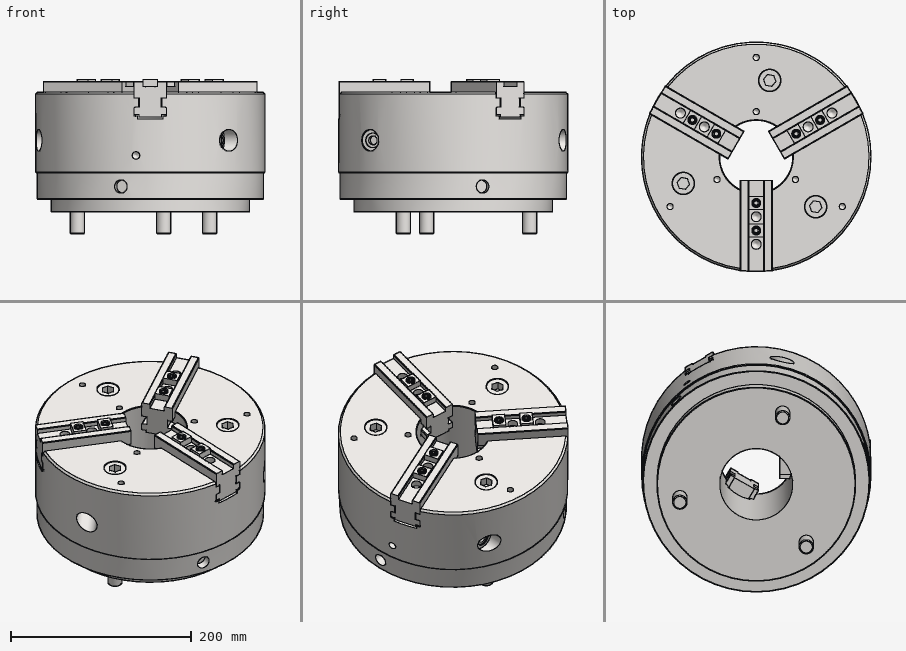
import cadquery as cq
import math


pilot_radius = 110.0
flange_radius = 125.5
body_radius = 127.0
pilot_height = 14.2
body_bottom = 43.2
body_top = 132.8
bore_radius = 40.5
outside_radius = body_radius + 12.7
top_chamfer = 2.3
rim_chamfer = 1.0
bore_chamfer = 0.8
small_chamfer = 0.8

jaw_angles = [30, 150, 270]
jaw_inner = 26.0
jaw_outer = 126.2
jaw_top = 144.5
jaw_half_width = 17.8
jaw_neck_half = 12.0
jaw_foot_half = 12.7
neck_top = 126.5
neck_bottom = 116.3
jaw_shoulder = 108.0
jaw_bottom = 105.5
tongue_chamfer = 1.0
jaw_edge_chamfer = 0.8

way_neck_half = 13.0
way_foot_half = 14.0
way_shoulder = 106.2
way_bottom = 102.9

channel_width = 16.5
channel_floor = 139.0
key_top = 146.8
key_length = 14.0
first_key_radius = 51.0
row_pitch = 15.2
key_radii = [first_key_radius, first_key_radius + 2 * row_pitch]
jaw_hole_radii = [first_key_radius + row_pitch, first_key_radius + 3 * row_pitch]
jaw_hole_diameter = 11.0
jaw_hole_depth = 7.5
key_bore_diameter = 10.0
key_screw_diameter = 9.0
key_screw_chamfer = 1.0
key_socket_diameter = 5.0
key_bore_depth = 3.8
key_screw_recess = 0.5
key_socket_depth = 3.0

screw_angles = [80, 200, 320]
screw_circle = 85.9
screw_hole_diameter = 25.0
screw_head_diameter = 24.0
screw_head_recess = 0.8
screw_gap_depth = 10.2
hex_corner_diameter = 14.0
hex_depth = 10.2
hex_turn = 30
shank_diameter = 16.0
shank_end = -24.5
shank_chamfer = 1.3

face_hole_angles = [90, 210, 330]
face_hole_circles = [50.0, 110.0]
face_hole_diameter = 6.9
face_hole_depth = 10.2
drill_point_angle = 118.0

drive_hole_diameter = 24.0
drive_hole_z = 79.5
drive_hole_offset = 60.7
drive_axis_angles = [102, 222]
drive_hole_end = 63.5
pinion_axis_angle = 342
pinion_face = 102.0
pinion_socket_diameter = 16.0
pinion_socket_depth = 1.5
pinion_bore_diameter = 10.0
pinion_bore_depth = 7.5
flange_hole_angles = [15, 135, 255]
flange_hole_diameter = 14.5
flange_hole_depth = 9.5
flange_hole_z = 28.5
oil_hole_x = -15.7
oil_hole_z = 62.7
oil_hole_diameter = 8.5
oil_hole_depth = 15.2


def around_z(shape, angle):
    return shape.rotate((0, 0, 0), (0, 0, 1), angle)


def polar(radius, angle):
    a = math.radians(angle)
    return radius * math.cos(a), radius * math.sin(a)


def cylinder_down(x, y, z_top, diameter, depth):
    return cq.Workplane("XY", origin=(x, y, z_top)).circle(diameter / 2).extrude(-depth)


def hexagon_down(x, y, z_top, corner_diameter, depth, angle):
    hexagon = cq.Workplane("XY").polygon(6, corner_diameter).extrude(-depth)
    return around_z(hexagon, angle).translate((x, y, z_top))


def drilled_hole(diameter, depth):
    """Blind hole going down from the origin, with a conical drill point."""
    radius = diameter / 2
    tip = depth + radius / math.tan(math.radians(drill_point_angle / 2))
    profile = [(0, 0), (radius, 0), (radius, -depth), (0, -tip)]
    return cq.Workplane("XZ").polyline(profile).close().revolve(360, (0, 0), (0, 1))


def cylinder_along_x(diameter, start, end, offset, z):
    """Cylinder along X from start to end, shifted sideways by offset towards -Y."""
    plane = cq.Workplane("YZ", origin=(start, -offset, z))
    return plane.circle(diameter / 2).extrude(end - start)


def mirrored_prism(half_outline, start, end):
    """Prism along X from the right half of a section symmetric about Y = 0."""
    left = [(-y, z) for y, z in reversed(half_outline)]
    plane = cq.Workplane("YZ", origin=(start, 0, 0))
    return plane.polyline(half_outline + left).close().extrude(end - start)


def make_body():
    profile = [
        (bore_radius, 0),
        (pilot_radius - small_chamfer, 0),
        (pilot_radius, small_chamfer),
        (pilot_radius, pilot_height),
        (flange_radius - small_chamfer, pilot_height),
        (flange_radius, pilot_height + small_chamfer),
        (flange_radius, body_bottom),
        (body_radius - rim_chamfer, body_bottom),
        (body_radius, body_bottom + rim_chamfer),
        (body_radius, body_top - top_chamfer),
        (body_radius - top_chamfer, body_top),
        (bore_radius + bore_chamfer, body_top),
        (bore_radius, body_top - bore_chamfer),
    ]
    return cq.Workplane("XZ").polyline(profile).close().revolve(360, (0, 0), (0, 1))


def tongue_section(top, neck_half, shoulder, foot_half, bottom):
    """Right half of a T-shaped jaw or guideway section, from top to bottom."""
    return [
        (jaw_half_width, top),
        (jaw_half_width, neck_top),
        (neck_half, neck_top),
        (neck_half, neck_bottom),
        (jaw_half_width - tongue_chamfer, neck_bottom),
        (jaw_half_width, neck_bottom - tongue_chamfer),
        (jaw_half_width, shoulder),
        (foot_half, shoulder),
        (foot_half, bottom),
    ]


def make_guideway():
    section = tongue_section(jaw_top, way_neck_half, way_shoulder, way_foot_half, way_bottom)
    return mirrored_prism(section, 0, outside_radius)


def make_key(radius):
    length_start = radius - key_length / 2
    half = channel_width / 2
    section = [(half, key_top), (half, channel_floor)]
    key = mirrored_prism(section, length_start, length_start + key_length)
    key = key.cut(cylinder_down(radius, 0, key_top, key_bore_diameter, key_bore_depth))
    screw_top = key_top - key_screw_recess
    screw_length = key_bore_depth - key_screw_recess
    screw = cylinder_down(radius, 0, screw_top, key_screw_diameter, screw_length)
    screw = screw.faces(">Z").chamfer(key_screw_chamfer)
    socket = hexagon_down(radius, 0, screw_top, key_socket_diameter, key_socket_depth, 0)
    return key.union(screw.cut(socket))


def make_jaw():
    """Jaw lying along +X, with its key channel, keys and holes."""
    channel_half = channel_width / 2
    channel_edge = [
        (channel_half, channel_floor),
        (channel_half, jaw_top - jaw_edge_chamfer),
        (channel_half + jaw_edge_chamfer, jaw_top),
        (jaw_half_width - jaw_edge_chamfer, jaw_top),
    ]
    flank = tongue_section(
        jaw_top - jaw_edge_chamfer, jaw_neck_half, jaw_shoulder, jaw_foot_half, jaw_bottom
    )
    jaw = mirrored_prism(channel_edge + flank, jaw_inner, jaw_outer)
    for radius in jaw_hole_radii:
        hole = drilled_hole(jaw_hole_diameter, jaw_hole_depth)
        jaw = jaw.cut(hole.translate((radius, 0, channel_floor)))
    for radius in key_radii:
        jaw = jaw.union(make_key(radius))
    return jaw


def add_mounting_screw(chuck, angle):
    x, y = polar(screw_circle, angle)
    head_top = body_top - screw_head_recess
    chuck = chuck.cut(cylinder_down(x, y, body_top, screw_hole_diameter, screw_gap_depth))
    head_length = screw_gap_depth - screw_head_recess
    head = cylinder_down(x, y, head_top, screw_head_diameter, head_length)
    shank = cylinder_down(x, y, pilot_height, shank_diameter, pilot_height - shank_end)
    shank = shank.faces("<Z").chamfer(shank_chamfer)
    socket = hexagon_down(x, y, head_top, hex_corner_diameter, hex_depth, angle + hex_turn)
    return chuck.union(head).union(shank).cut(socket)


def cut_face_holes(chuck):
    for circle in face_hole_circles:
        for angle in face_hole_angles:
            x, y = polar(circle, angle)
            hole = drilled_hole(face_hole_diameter, face_hole_depth)
            chuck = chuck.cut(hole.translate((x, y, body_top)))
    return chuck


def make_drive_bore(diameter, end):
    return cylinder_along_x(diameter, end, outside_radius, drive_hole_offset, drive_hole_z)


def cut_rim_holes(chuck):
    plain_hole = make_drive_bore(drive_hole_diameter, drive_hole_end)
    for angle in drive_axis_angles:
        chuck = chuck.cut(around_z(plain_hole, angle))

    pinion_steps = [
        (drive_hole_diameter, 0),
        (pinion_socket_diameter, pinion_socket_depth),
        (pinion_bore_diameter, pinion_bore_depth),
    ]
    for diameter, depth in pinion_steps:
        step = make_drive_bore(diameter, pinion_face - depth)
        chuck = chuck.cut(around_z(step, pinion_axis_angle))

    flange_hole_floor = flange_radius - flange_hole_depth
    flange_hole = cylinder_along_x(
        flange_hole_diameter, flange_hole_floor, outside_radius, 0, flange_hole_z
    )
    for angle in flange_hole_angles:
        chuck = chuck.cut(around_z(flange_hole, angle))

    oil_hole = drilled_hole(oil_hole_diameter, oil_hole_depth)
    oil_hole = oil_hole.rotate((0, 0, 0), (1, 0, 0), 90)
    return chuck.cut(oil_hole.translate((oil_hole_x, -body_radius, oil_hole_z)))


result = make_body()
for jaw_angle in jaw_angles:
    result = result.cut(around_z(make_guideway(), jaw_angle))
for jaw_angle in jaw_angles:
    result = result.union(around_z(make_jaw(), jaw_angle))
for screw_angle in screw_angles:
    result = add_mounting_screw(result, screw_angle)
result = cut_face_holes(result)
result = cut_rim_holes(result)